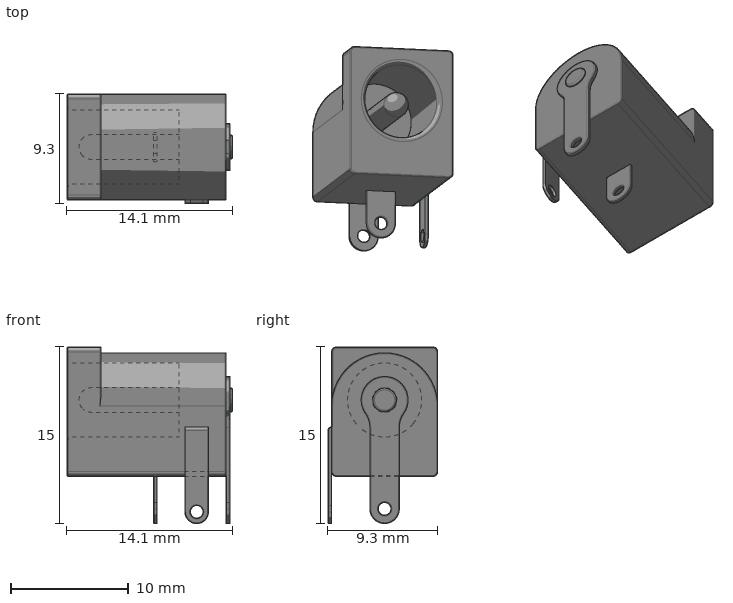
import cadquery as cq
import math

body_length = 13.5
body_width = 9.0
flange_height = 11.0
flange_length = 2.88
corner_radius = 0.4
edge_radius = 0.1
rear_edge_radius = 0.08
barrel_radius = body_width / 2
barrel_axis_z = 6.0
step_x = flange_length - edge_radius

socket_z = 6.5
socket_radius = 3.15
socket_lip_radius = 0.4
socket_depth = 9.5
pin_radius = 1.05
pin_tip_x = 1.0

terminal_bottom_z = flange_height - 15.0
terminal_hole_diameter = 1.08
blade_thickness = 0.3
blade_edge_radius = 0.06
wide_blade_width = 2.5
middle_blade_x = 7.5
side_blade_x = 11.01
side_blade_width = 2.0
side_blade_top_z = 4.2
side_blade_top_radius = 0.28

plate_thickness = 0.35
plate_edge_radius = 0.08
plate_disc_radius = 2.0
plate_neck_radius = plate_disc_radius
rivet_radius = 1.0
rivet_height = 0.21
rivet_edge_radius = 0.14


def x_cylinder(radius, start_x, length):
    """Cylinder along X on the socket axis."""
    circle = cq.Workplane("YZ", origin=(start_x, 0, socket_z)).circle(radius)
    return circle.extrude(length)


def make_housing():
    flange = (
        cq.Workplane("XY")
        .box(flange_length, body_width, flange_height, centered=(False, True, False))
        .edges("|X")
        .fillet(corner_radius)
        .faces("<X or >X")
        .edges()
        .fillet(edge_radius)
    )
    barrel = (
        cq.Workplane("YZ", origin=(step_x, 0, 0))
        .moveTo(-barrel_radius, 0)
        .lineTo(barrel_radius, 0)
        .lineTo(barrel_radius, barrel_axis_z)
        .threePointArc((0, barrel_axis_z + barrel_radius), (-barrel_radius, barrel_axis_z))
        .close()
        .extrude(body_length - step_x)
        .edges("|X and <Z")
        .fillet(corner_radius)
        .faces(">X")
        .edges()
        .fillet(rear_edge_radius)
    )
    side_wall = (
        cq.Workplane("XY", origin=(flange_length / 2, 0, 0))
        .box(flange_length, body_width, barrel_axis_z, centered=(False, True, False))
        .edges("|X and <Z")
        .fillet(corner_radius)
    )
    return flange.union(side_wall).union(barrel)


def cut_socket(housing):
    bore = x_cylinder(socket_radius, 0, socket_depth)
    return housing.cut(bore).faces("<X").edges("%CIRCLE").fillet(socket_lip_radius)


def make_pin():
    shaft_x = pin_tip_x + pin_radius
    shaft = x_cylinder(pin_radius, shaft_x, body_length - shaft_x)
    tip = cq.Workplane("XY", origin=(shaft_x, 0, socket_z)).sphere(pin_radius)
    return shaft.union(tip)


def blade(plane, origin, width, top_z, thickness):
    """Upright strip with a rounded, drilled lower end."""
    radius = width / 2
    end_z = terminal_bottom_z + radius
    return (
        cq.Workplane(plane, origin=origin)
        .moveTo(-radius, top_z)
        .lineTo(-radius, end_z)
        .threePointArc((0, terminal_bottom_z), (radius, end_z))
        .lineTo(radius, top_z)
        .close()
        .moveTo(0, end_z)
        .circle(terminal_hole_diameter / 2)
        .extrude(thickness)
    )


def make_middle_blade():
    start = (middle_blade_x - blade_thickness / 2, 0, 0)
    strip = blade("YZ", start, wide_blade_width, corner_radius, blade_thickness)
    return strip.faces("<X or >X").edges().fillet(blade_edge_radius)


def make_side_blade():
    start = (side_blade_x, -body_width / 2, 0)
    strip = blade("XZ", start, side_blade_width, side_blade_top_z, blade_thickness)
    rounded_top = strip.edges(">Z and <Y").fillet(side_blade_top_radius)
    return rounded_top.faces("<Y").edges("not >Z").fillet(blade_edge_radius)


def make_rear_plate():
    half_width = wide_blade_width / 2
    end_z = terminal_bottom_z + half_width
    neck_y = half_width + plate_neck_radius
    centre_distance = plate_disc_radius + plate_neck_radius
    neck_drop = math.sqrt(centre_distance**2 - neck_y**2)
    neck_z = socket_z - neck_drop
    join_fraction = plate_disc_radius / centre_distance
    join_y = neck_y * join_fraction
    join_z = socket_z - neck_drop * join_fraction
    half_angle = math.atan2(neck_drop, neck_y) / 2
    middle_y = neck_y - plate_neck_radius * math.cos(half_angle)
    middle_z = neck_z + plate_neck_radius * math.sin(half_angle)
    return (
        cq.Workplane("YZ", origin=(body_length, 0, 0))
        .moveTo(-half_width, end_z)
        .threePointArc((0, terminal_bottom_z), (half_width, end_z))
        .lineTo(half_width, neck_z)
        .threePointArc((middle_y, middle_z), (join_y, join_z))
        .threePointArc((0, socket_z + plate_disc_radius), (-join_y, join_z))
        .threePointArc((-middle_y, middle_z), (-half_width, neck_z))
        .close()
        .moveTo(0, end_z)
        .circle(terminal_hole_diameter / 2)
        .extrude(plate_thickness)
        .faces(">X")
        .edges()
        .fillet(plate_edge_radius)
    )


def make_rivet():
    rivet = x_cylinder(rivet_radius, body_length, plate_thickness + rivet_height)
    return rivet.faces(">X").edges().fillet(rivet_edge_radius)


result = (
    cut_socket(make_housing())
    .union(make_pin())
    .union(make_middle_blade())
    .union(make_side_blade())
    .union(make_rear_plate())
    .union(make_rivet())
)